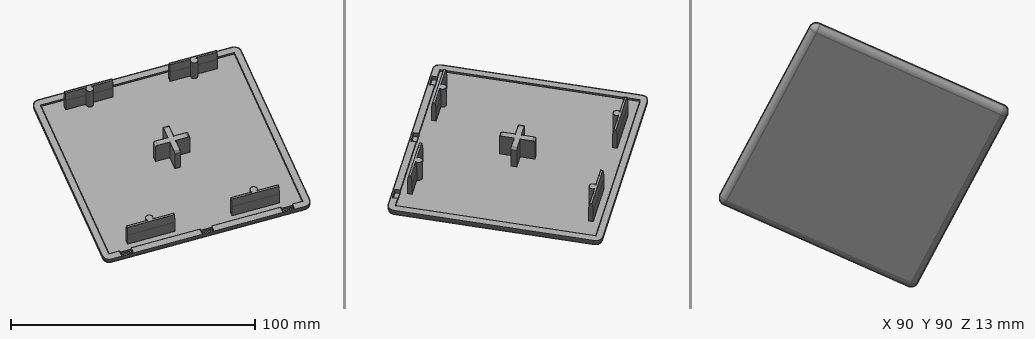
import cadquery as cq

side = 90.0
plate_height = 4.0
edge_radius = 3.0
rim_width = 3.0
recess_depth = 0.9
floor_z = plate_height - recess_depth

total_height = 13.0
post_height = total_height - floor_z

cross_span = 14.9
cross_thickness = 2.5
cross_end_radius = 1.0

clip_length = 20.5
clip_thickness = 2.0
clip_outer_x = side / 2 - 6.0
clip_y = 22.7
taper_height = 4.1
taper_inset = 0.5
rib_radius = 1.5
rib_x = side / 2 - 8.5

notch_depth_x = 2.25
notch_width = 5.0
notch_spacing = 35.0
notch_depth_z = 2.0


def make_plate():
    """Square plate with rounded corners, a rounded underside and a shallow recess."""
    plate = cq.Workplane("XY").box(side, side, plate_height, centered=(True, True, False))
    plate = plate.edges("|Z").fillet(edge_radius)
    plate = plate.faces("<Z").edges().fillet(edge_radius)
    recess_side = side - 2 * rim_width
    recess = cq.Workplane("XY").workplane(offset=floor_z).rect(recess_side, recess_side).extrude(recess_depth)
    return plate.cut(recess)


def make_notches():
    """Three cutters that open the inner edge of the +X rim."""
    centre_x = side / 2 - rim_width + notch_depth_x / 2
    centres = [(centre_x, step * notch_spacing) for step in (-1, 0, 1)]
    base = cq.Workplane("XY").workplane(offset=plate_height - notch_depth_z)
    return base.pushPoints(centres).rect(notch_depth_x, notch_width).extrude(notch_depth_z)


def make_cross():
    """Two crossed bars with rounded upper ends."""
    bar = cq.Workplane("XY").workplane(offset=floor_z).rect(cross_span, cross_thickness).extrude(post_height)
    bar = bar.faces(">Z").edges("|Y").fillet(cross_end_radius)
    return bar.union(bar.rotate((0, 0, 0), (0, 0, 1), 90))


def make_clip(centre_y):
    """Clip on the +X side."""
    inner_x = clip_outer_x - clip_thickness
    taper_z = total_height - taper_height
    wall = (
        cq.Workplane("XZ", origin=(0, centre_y, 0))
        .moveTo(inner_x, floor_z)
        .lineTo(clip_outer_x, floor_z)
        .lineTo(clip_outer_x, taper_z)
        .tangentArcPoint((clip_outer_x - taper_inset, total_height), relative=False)
        .lineTo(inner_x + taper_inset, total_height)
        .threePointArc(
            (inner_x + taper_inset / 4, taper_z + taper_height / 2),
            (inner_x, taper_z),
        )
        .close()
        .extrude(clip_length / 2, both=True)
    )
    rib = cq.Workplane("XY", origin=(rib_x, centre_y, floor_z)).circle(rib_radius).extrude(post_height)
    return wall.union(rib)


result = make_plate().cut(make_notches()).union(make_cross())
for centre_y in (-clip_y, clip_y):
    clip = make_clip(centre_y)
    result = result.union(clip).union(clip.mirror("YZ"))